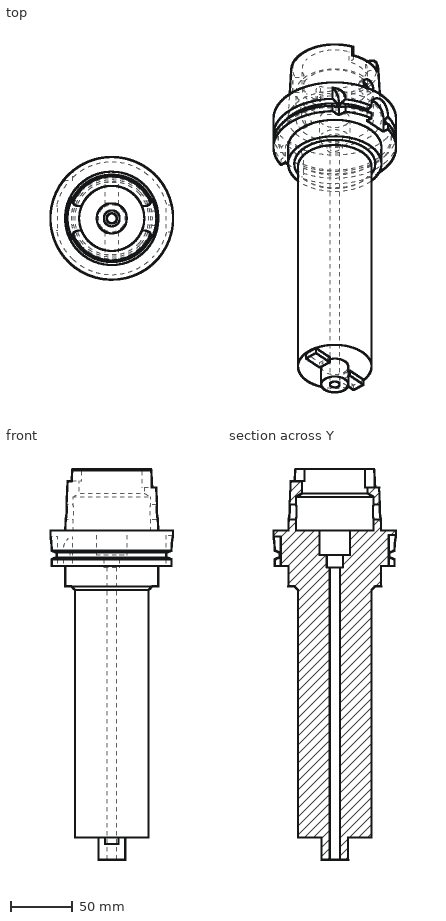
import cadquery as cq
import math

SHANK_LENGTH = 50.0
SHANK_BASE_RADIUS = 38.0
TAPER_DIAMETER_RATIO = 0.1
SHANK_TIP_RADIUS = SHANK_BASE_RADIUS - SHANK_LENGTH * TAPER_DIAMETER_RATIO / 2
TIP_CHAMFER = 1.3

FLANGE_RADIUS = 50.0
FLANGE_THICKNESS = 29.0
GROOVE_CENTRE_DEPTH = 20.0
GROOVE_WIDTH = 7.0
GROOVE_RADIUS = 46.0
GROOVE_FLANK_ANGLE = 22.0
GROOVE_FLANK_HEIGHT = (FLANGE_RADIUS - GROOVE_RADIUS) * math.tan(math.radians(GROOVE_FLANK_ANGLE))

COLLAR_RADIUS = 38.0
COLLAR_BOTTOM = -45.5
BODY_RADIUS = 30.0
BODY_BOTTOM = -250.0
BODY_CHAMFER = 3.0
SPIGOT_RADIUS = 11.0
SPIGOT_LENGTH = 18.0
SPIGOT_BOTTOM = BODY_BOTTOM - SPIGOT_LENGTH

MOUTH_RADIUS = 26.5
MOUTH_LENGTH = 20.0
CHAMBER_RADIUS = 31.5
CHAMBER_SHOULDER_ANGLE = 30.0
CHAMBER_SHOULDER_HEIGHT = (CHAMBER_RADIUS - MOUTH_RADIUS) * math.tan(math.radians(CHAMBER_SHOULDER_ANGLE))
CHAMBER_FLOOR = 0.0
COOLANT_SEAT_RADIUS = 12.25
COOLANT_SEAT_DEPTH = 20.0
COUNTERBORE_RADIUS = 6.5
COUNTERBORE_DEPTH = 10.0
AXIAL_BORE_RADIUS = 4.0

DRIVE_SLOT_WIDTH = 20.0
DRIVE_SLOT_DEPTH_MINUS_X = 10.0
DRIVE_SLOT_DEPTH_PLUS_X = 15.0
DRIVE_SLOT_CORNER_RADIUS = 5.0

ACCESS_HOLE_RADIUS = 6.0
ACCESS_HOLE_HEIGHT = 15.0

NOTCH_ARC_CENTRE_Z = -15.0
NOTCH_WIDTH_MINUS_X = 20.0
NOTCH_WIDTH_PLUS_X = 22.0
NOTCH_FLOOR_X = 44.0
ORIENTATION_NOTCH_WIDTH = 20.0
ORIENTATION_NOTCH_FLOOR_X = 32.0
ORIENTATION_NOTCH_CENTRE_Y = 41.0

KEY_WIDTH = 11.0
KEY_HEIGHT = 5.0
KEY_INNER_Y = 12.3
KEY_OUTER_Y = 29.2


def make_revolved_body():
    """Solid outer shape, turned about Z."""
    groove_top = -GROOVE_CENTRE_DEPTH + GROOVE_WIDTH / 2
    groove_bottom = -GROOVE_CENTRE_DEPTH - GROOVE_WIDTH / 2
    profile = (
        cq.Workplane("XZ")
        .moveTo(0, SHANK_LENGTH)
        .lineTo(SHANK_TIP_RADIUS - TIP_CHAMFER, SHANK_LENGTH)
        .lineTo(SHANK_TIP_RADIUS + TIP_CHAMFER * TAPER_DIAMETER_RATIO / 2, SHANK_LENGTH - TIP_CHAMFER)
        .lineTo(SHANK_BASE_RADIUS, 0)
        .lineTo(FLANGE_RADIUS, 0)
        .lineTo(FLANGE_RADIUS, groove_top)
        .lineTo(GROOVE_RADIUS, groove_top - GROOVE_FLANK_HEIGHT)
        .lineTo(GROOVE_RADIUS, groove_bottom + GROOVE_FLANK_HEIGHT)
        .lineTo(FLANGE_RADIUS, groove_bottom)
        .lineTo(FLANGE_RADIUS, -FLANGE_THICKNESS)
        .lineTo(COLLAR_RADIUS, -FLANGE_THICKNESS)
        .lineTo(COLLAR_RADIUS, COLLAR_BOTTOM)
        .lineTo(BODY_RADIUS + BODY_CHAMFER, COLLAR_BOTTOM)
        .lineTo(BODY_RADIUS, COLLAR_BOTTOM - BODY_CHAMFER)
        .lineTo(BODY_RADIUS, BODY_BOTTOM)
        .lineTo(SPIGOT_RADIUS, BODY_BOTTOM)
        .lineTo(SPIGOT_RADIUS, SPIGOT_BOTTOM)
        .lineTo(0, SPIGOT_BOTTOM)
        .close()
    )
    return profile.revolve(360, (0, 0, 0), (0, 1, 0))


def make_interior():
    """Cavity turned about Z: mouth, undercut chamber, coolant seat and through bore."""
    mouth_bottom = SHANK_LENGTH - MOUTH_LENGTH
    seat_floor = CHAMBER_FLOOR - COOLANT_SEAT_DEPTH
    counterbore_floor = seat_floor - COUNTERBORE_DEPTH
    profile = (
        cq.Workplane("XZ")
        .moveTo(0, SHANK_LENGTH)
        .lineTo(MOUTH_RADIUS, SHANK_LENGTH)
        .lineTo(MOUTH_RADIUS, mouth_bottom)
        .lineTo(CHAMBER_RADIUS, mouth_bottom - CHAMBER_SHOULDER_HEIGHT)
        .lineTo(CHAMBER_RADIUS, CHAMBER_FLOOR)
        .lineTo(COOLANT_SEAT_RADIUS, CHAMBER_FLOOR)
        .lineTo(COOLANT_SEAT_RADIUS, seat_floor)
        .lineTo(COUNTERBORE_RADIUS, seat_floor)
        .lineTo(COUNTERBORE_RADIUS, counterbore_floor)
        .lineTo(AXIAL_BORE_RADIUS, counterbore_floor)
        .lineTo(AXIAL_BORE_RADIUS, SPIGOT_BOTTOM)
        .lineTo(0, SPIGOT_BOTTOM)
        .close()
    )
    return profile.revolve(360, (0, 0, 0), (0, 1, 0))


def make_drive_slot(side, depth):
    """Slot through the shank wall on one X side, with rounded leg corners that end at the taper."""
    half_width = DRIVE_SLOT_WIDTH / 2
    corner = DRIVE_SLOT_CORNER_RADIUS
    corner_y = half_width + corner
    corner_end_x = math.sqrt(SHANK_TIP_RADIUS**2 - corner_y**2)
    corner_start_x = corner_end_x - corner
    arc_offset = corner * math.sqrt(0.5)
    arc_middle_x = corner_start_x + arc_offset
    arc_middle_y = corner_y - arc_offset
    return (
        cq.Workplane("XY", origin=(0, 0, SHANK_LENGTH - depth))
        .moveTo(0, -half_width)
        .lineTo(side * corner_start_x, -half_width)
        .threePointArc((side * arc_middle_x, -arc_middle_y), (side * corner_end_x, -corner_y))
        .lineTo(side * FLANGE_RADIUS, -corner_y)
        .lineTo(side * FLANGE_RADIUS, corner_y)
        .lineTo(side * corner_end_x, corner_y)
        .threePointArc((side * arc_middle_x, arc_middle_y), (side * corner_start_x, half_width))
        .lineTo(0, half_width)
        .close()
        .extrude(depth)
    )


def make_access_hole():
    return (
        cq.Workplane("YZ", origin=(-FLANGE_RADIUS, 0, 0))
        .center(0, ACCESS_HOLE_HEIGHT)
        .circle(ACCESS_HOLE_RADIUS)
        .extrude(2 * FLANGE_RADIUS)
    )


def make_rim_notch(side, width, floor_x, centre_y):
    """Round-topped notch, open at the flange underside, cut along X to a flat floor."""
    radius = width / 2
    return (
        cq.Workplane("YZ", origin=(side * floor_x, centre_y, 0))
        .moveTo(-radius, -FLANGE_THICKNESS)
        .lineTo(-radius, NOTCH_ARC_CENTRE_Z)
        .threePointArc((0, NOTCH_ARC_CENTRE_Z + radius), (radius, NOTCH_ARC_CENTRE_Z))
        .lineTo(radius, -FLANGE_THICKNESS)
        .close()
        .extrude(side * FLANGE_RADIUS)
    )


def make_drive_key(side):
    key_length = KEY_OUTER_Y - KEY_INNER_Y
    key_centre_y = side * (KEY_INNER_Y + KEY_OUTER_Y) / 2
    return (
        cq.Workplane("XY", origin=(0, key_centre_y, BODY_BOTTOM))
        .rect(KEY_WIDTH, key_length)
        .extrude(-KEY_HEIGHT)
    )


result = make_revolved_body()
for key_side in (-1, 1):
    result = result.union(make_drive_key(key_side))
result = result.cut(make_interior())
result = result.cut(make_drive_slot(-1, DRIVE_SLOT_DEPTH_MINUS_X))
result = result.cut(make_drive_slot(1, DRIVE_SLOT_DEPTH_PLUS_X))
result = result.cut(make_access_hole())
result = result.cut(make_rim_notch(-1, NOTCH_WIDTH_MINUS_X, NOTCH_FLOOR_X, 0))
result = result.cut(make_rim_notch(1, NOTCH_WIDTH_PLUS_X, NOTCH_FLOOR_X, 0))
result = result.cut(
    make_rim_notch(-1, ORIENTATION_NOTCH_WIDTH, ORIENTATION_NOTCH_FLOOR_X, ORIENTATION_NOTCH_CENTRE_Y)
)